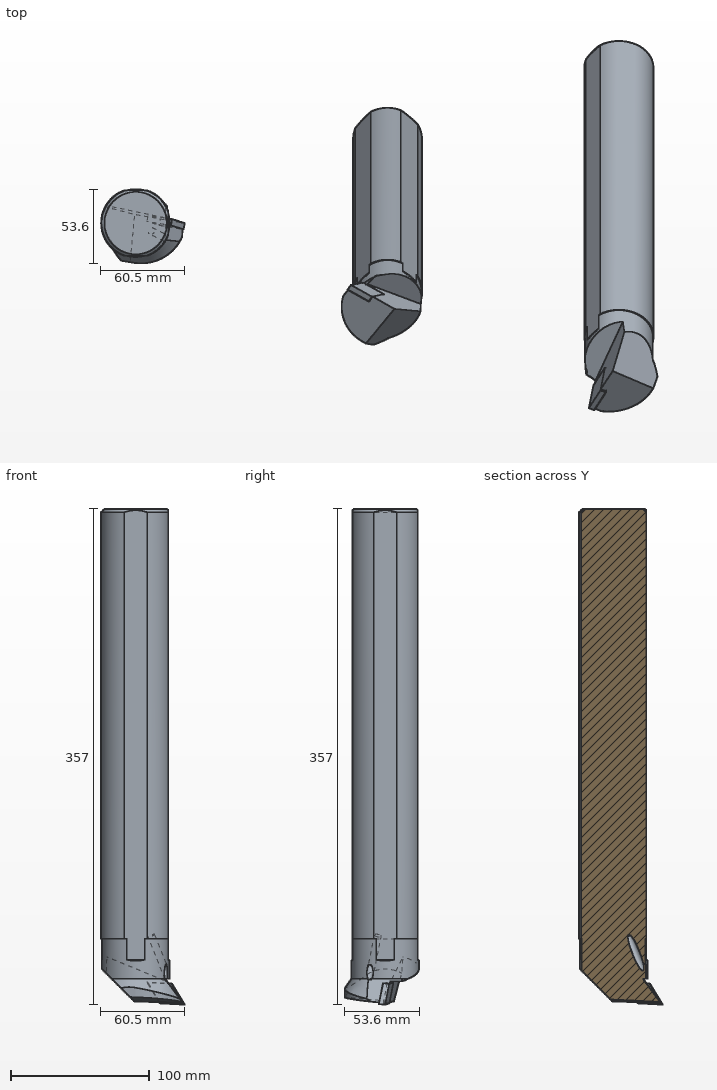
import cadquery as cq
import math

length = 357.0
shank_radius = 25.0
neck_diameter = 49.0
neck_radius = neck_diameter / 2
flat_distance = 23.5
end_chamfer = 2.5
neck_top = 47.5
flat_end = 32.5
head_top = 18.5

cone_slope = 0.7
head_wall_center = (4.0, 3.2)
head_wall_diameter = 64.5
head_wall_radius = head_wall_diameter / 2
facet_end = (-32.0, -23.5)
relief_top = (-25.0, 26.5)
flank_point = (31.0, 5.5)
flank_slope = -1.35
sole_height = 2.9
sole_slope_x = -0.05
sole_slope_y = -0.09

tip = (35.5, 0.0, 0.0)
rake_normal = (0.17, 1.0, -0.09)
insert_angle = 55.0
insert_edge = 18.0
insert_thickness = 4.5
insert_lead = 3.0
ceiling_height = 26.0
ceiling_slope = -0.41

coolant_diameter = 5.0
coolant_exit = (21.5, -10.7, 24.0)
coolant_direction = (0.4, -0.2, -1.0)
coolant_depth = 28.5
coolant_runout = 5.5

reach = 214.3


def half_space(point, normal):
    """Large block that fills the side of a plane its normal points to."""
    plane = cq.Plane(origin=point, normal=normal)
    return cq.Workplane(plane).rect(reach, reach).extrude(reach)


def make_shank():
    shank = cq.Workplane("XY").workplane(offset=neck_top).circle(shank_radius).extrude(length - neck_top)
    return shank.faces(">Z").chamfer(end_chamfer)


def make_neck_and_head():
    """Neck and flaring cone, with the cone trimmed to the eccentric outer wall."""
    neck = cq.Workplane("XY").workplane(offset=head_top).circle(neck_radius).extrude(neck_top - head_top)
    foot_radius = neck_radius + cone_slope * head_top
    cone = (
        cq.Workplane("XZ")
        .polyline([(0, 0), (foot_radius, 0), (neck_radius, head_top), (0, head_top)])
        .close()
        .revolve(360, (0, 0), (0, 1))
    )
    return neck.union(cone.intersect(make_head_outline()))


def make_head_outline():
    center_x, center_y = head_wall_center
    arc_start = (0, center_y - math.sqrt(head_wall_radius**2 - center_x**2))
    arc_middle = (
        center_x + head_wall_radius * math.cos(math.radians(-45)),
        center_y + head_wall_radius * math.sin(math.radians(-45)),
    )
    arc_end = (center_x + head_wall_radius, center_y)
    far_side = 2 * shank_radius
    return (
        cq.Workplane("XY")
        .moveTo(*arc_start)
        .threePointArc(arc_middle, arc_end)
        .lineTo(arc_end[0], far_side)
        .lineTo(facet_end[0], far_side)
        .lineTo(*facet_end)
        .close()
        .extrude(head_top)
    )


def make_flats():
    """Blocks that cut the clamping flats on the +X, +Y and -Y sides."""
    outer = flat_distance + shank_radius
    block = (
        cq.Workplane("XZ")
        .polyline([
            (flat_distance, flat_end),
            (outer, flat_end - shank_radius),
            (outer, length),
            (flat_distance, length),
        ])
        .close()
        .extrude(shank_radius, both=True)
    )
    return [block.rotate((0, 0, 0), (0, 0, 1), angle) for angle in (-90, 0, 90)]


def make_head_reliefs():
    """Blocks that cut the 45 degree back, the flank behind the edge and the sole."""
    back = half_space((relief_top[0], 0, relief_top[1]), (-1, 0, -1))
    flank = half_space((flank_point[0], 0, flank_point[1]), (-flank_slope, 0, 1))
    flank = flank.intersect(half_space((0, 0, head_top), (0, 0, -1)))
    sole = half_space((0, 0, sole_height), (sole_slope_x, sole_slope_y, -1))
    return [back, flank, sole]


def make_gullet():
    """Space in front of the rake plane and below the sloping ceiling."""
    ceiling = half_space((0, 0, ceiling_height), (ceiling_slope, 0, -1))
    return half_space(tip, rake_normal).intersect(ceiling)


def make_coolant_hole():
    aim = cq.Vector(*coolant_direction)
    start = cq.Vector(*coolant_exit) - aim.normalized() * coolant_depth
    plane = cq.Plane(origin=start, normal=aim)
    return cq.Workplane(plane).circle(coolant_diameter / 2).extrude(coolant_depth + coolant_runout)


def make_insert():
    """Rhombic insert lying in the rake plane, with its sharp corner at the tip."""
    plane = cq.Plane(origin=tip, xDir=(-1, rake_normal[0], 0), normal=rake_normal)
    end_angle = math.radians(insert_lead)
    side_angle = math.radians(insert_lead + insert_angle)
    end_corner = (insert_edge * math.cos(end_angle), insert_edge * math.sin(end_angle))
    side_corner = (insert_edge * math.cos(side_angle), insert_edge * math.sin(side_angle))
    far_corner = (end_corner[0] + side_corner[0], end_corner[1] + side_corner[1])
    outline = cq.Workplane(plane).polyline([(0, 0), end_corner, far_corner, side_corner])
    return outline.close().extrude(-insert_thickness)


insert = make_insert()

holder = make_shank().union(make_neck_and_head())
for cutter in make_flats() + make_head_reliefs():
    holder = holder.cut(cutter)
holder = holder.cut(make_gullet()).cut(make_coolant_hole()).cut(insert)

result = cq.Compound.makeCompound([*holder.solids().vals(), insert.val()])